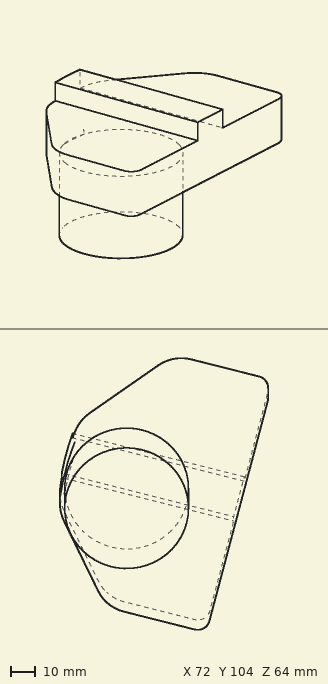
import cadquery as cq
import math

LENGTH_X = 72.0
WIDTH_Y = 104.0

STEM_HEIGHT = 36.0
PLATE_THICKNESS = 20.0
RIB_HEIGHT = 8.0

NOSE_Y = 0.7
NOSE_RADIUS = 104.0
FLANK_ANGLE = math.radians(50)
FLANK_APEX_SETBACK = 13.0
NOSE_CORNER_RADIUS = 17.7
SHOULDER_RADIUS = 16.0
REAR_CORNER_RADIUS = 5.0
BOTTOM_EDGE_RADIUS = 1.5

RIB_WIDTH = 17.1

STEM_DIAMETER = 50.0
STEM_X = 25.7
STEM_Y = 2.0


def nose_corner_offset():
    """Return X and the distance from the nose axis where a flank meets the nose arc."""
    apex_to_center = NOSE_RADIUS + FLANK_APEX_SETBACK
    along = apex_to_center * math.cos(FLANK_ANGLE)
    across = apex_to_center * math.sin(FLANK_ANGLE)
    flank_length = along - math.sqrt(NOSE_RADIUS**2 - across**2)
    x = flank_length * math.cos(FLANK_ANGLE) - FLANK_APEX_SETBACK
    return x, flank_length * math.sin(FLANK_ANGLE)


def shoulder_x(side_y):
    """Return X where a flank reaches the straight side at side_y."""
    return abs(side_y - NOSE_Y) / math.tan(FLANK_ANGLE) - FLANK_APEX_SETBACK


def make_outline_body(height):
    """Extrude the rounded plate outline upward from the top of the stem."""
    half_width = WIDTH_Y / 2
    nose_x, nose_offset = nose_corner_offset()
    nose_corners = [(nose_x, NOSE_Y + nose_offset), (nose_x, NOSE_Y - nose_offset)]
    shoulders = [(shoulder_x(y), y) for y in (half_width, -half_width)]
    rear_corners = [(LENGTH_X, half_width), (LENGTH_X, -half_width)]
    body = (
        cq.Workplane("XY", origin=(0, 0, STEM_HEIGHT))
        .moveTo(*nose_corners[1])
        .threePointArc((0, NOSE_Y), nose_corners[0])
        .lineTo(*shoulders[0])
        .lineTo(*rear_corners[0])
        .lineTo(*rear_corners[1])
        .lineTo(*shoulders[1])
        .close()
        .extrude(height)
    )
    middle_z = STEM_HEIGHT + height / 2
    corner_groups = [
        (nose_corners, NOSE_CORNER_RADIUS),
        (shoulders, SHOULDER_RADIUS),
        (rear_corners, REAR_CORNER_RADIUS),
    ]
    for corners, radius in corner_groups:
        for x, y in corners:
            upright_edge = cq.selectors.NearestToPointSelector((x, y, middle_z))
            body = body.edges("|Z").edges(upright_edge).fillet(radius)
    return body


plate = make_outline_body(PLATE_THICKNESS).faces("<Z").edges().fillet(BOTTOM_EDGE_RADIUS)

rib_strip = (
    cq.Workplane("XY", origin=(0, 0, STEM_HEIGHT + PLATE_THICKNESS))
    .box(LENGTH_X, RIB_WIDTH, RIB_HEIGHT, centered=(False, True, False))
)
rib = make_outline_body(PLATE_THICKNESS + RIB_HEIGHT).intersect(rib_strip)

stem = (
    cq.Workplane("XY")
    .center(STEM_X, STEM_Y)
    .circle(STEM_DIAMETER / 2)
    .extrude(STEM_HEIGHT)
)

result = plate.union(rib).union(stem)